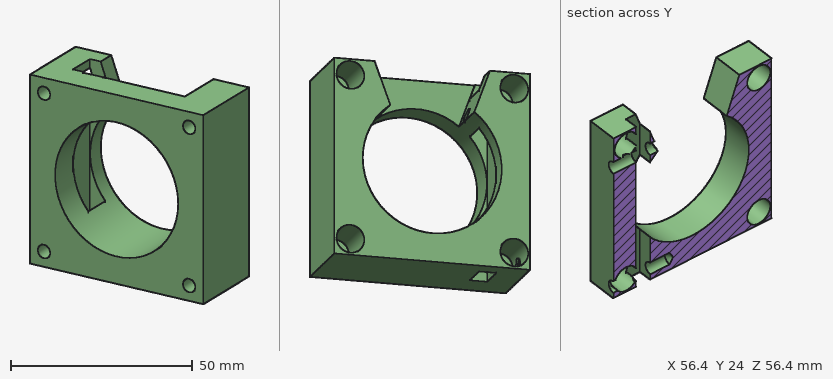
import cadquery as cq
import math

SIDE = 56.4
DEPTH = 24.0
HALF_SIDE = SIDE / 2
HALF_DEPTH = DEPTH / 2

FRONT_WALL = 9.0

BORE_DIAMETER = 40.0
HOLE_DIAMETER = 4.0
MOUNT_SPACING = 47.2
COUNTERBORE_DIAMETER = 8.0

NOTCH_TOP_WIDTH = 33.23
NOTCH_BORE_HALF_WIDTH = 12.11

SLOT_WIDTH = 5.0
SLOT_LENGTH = 8.9
SLOT_X = -17.6
SLOT_Y = 1.95

SCREW_Y = 2.0
UPPER_SCREW_Z = 17.75
LOWER_SCREW_Z = -24.2
SCREW_DEPTH = 20.0
DRILL_POINT_ANGLE = 118.0


def cylinder_from_back(diameter, length, x=0, z=0):
    """Cylinder along Y, running forward from the back face."""
    return cq.Workplane("XZ", origin=(x, HALF_DEPTH, z)).circle(diameter / 2).extrude(length)


def make_notch():
    """Trapezoid prism from the bore up to the top face, behind the front wall."""
    bore_radius = BORE_DIAMETER / 2
    bottom_z = math.sqrt(bore_radius**2 - NOTCH_BORE_HALF_WIDTH**2)
    profile = [
        (-NOTCH_BORE_HALF_WIDTH, bottom_z),
        (NOTCH_BORE_HALF_WIDTH, bottom_z),
        (NOTCH_TOP_WIDTH / 2, HALF_SIDE),
        (-NOTCH_TOP_WIDTH / 2, HALF_SIDE),
    ]
    return (
        cq.Workplane("XZ", origin=(0, HALF_DEPTH, 0))
        .polyline(profile)
        .close()
        .extrude(DEPTH - FRONT_WALL)
    )


def make_screw_hole(z):
    """Drilled hole with a conical bottom, from the -X face across the nut slot."""
    radius = HOLE_DIAMETER / 2
    tip_length = radius / math.tan(math.radians(DRILL_POINT_ANGLE / 2))
    return (
        cq.Workplane("XY", origin=(-HALF_SIDE, SCREW_Y, z))
        .lineTo(SCREW_DEPTH + tip_length, 0)
        .lineTo(SCREW_DEPTH, radius)
        .lineTo(0, radius)
        .close()
        .revolve(360, (0, 0, 0), (1, 0, 0))
    )


def make_block():
    """Block with the main bore and the four counterbored mounting holes."""
    block = cq.Workplane("XY").box(SIDE, DEPTH, SIDE)
    block = block.cut(cylinder_from_back(BORE_DIAMETER, DEPTH))
    mount_offset = MOUNT_SPACING / 2
    for x in (-mount_offset, mount_offset):
        for z in (-mount_offset, mount_offset):
            block = block.cut(cylinder_from_back(HOLE_DIAMETER, DEPTH, x, z))
            block = block.cut(cylinder_from_back(COUNTERBORE_DIAMETER, DEPTH - FRONT_WALL, x, z))
    return block


nut_slot = cq.Workplane("XY").box(SLOT_WIDTH, SLOT_LENGTH, SIDE).translate((SLOT_X, SLOT_Y, 0))

result = (
    make_block()
    .cut(make_notch())
    .cut(nut_slot)
    .cut(make_screw_hole(UPPER_SCREW_Z))
    .cut(make_screw_hole(LOWER_SCREW_Z))
)